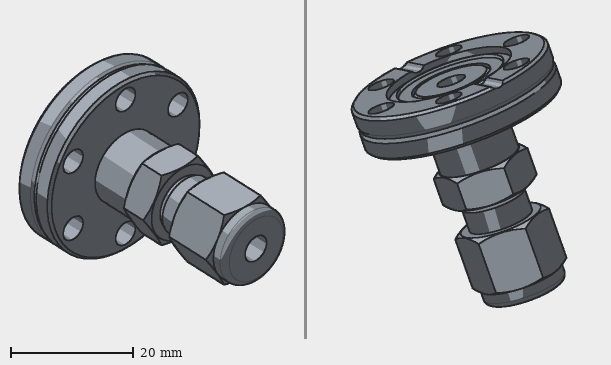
import cadquery as cq
import math


flange_radius = 17.0
flange_thickness = 7.75
rim_chamfer = 0.5
rim_groove_center = 3.87
rim_groove_width = 1.45
rim_groove_depth = 0.25

recess_radius = 10.8
recess_depth = 1.2
knife_radius = 9.25
knife_depth = 0.65
knife_root_radius = 9.07
inner_face_depth = 1.17

bolt_count = 6
bolt_circle_radius = 13.5
bolt_hole_diameter = 4.4

leak_groove_radius = 1.5
leak_groove_depth = 0.65
leak_groove_angle = 30

tube_radius = 6.8
tube_end_chamfer = 0.65
bore_diameter = 4.8
hex_sides = 6
hex_flats = 14.08
hex_face_radius = 6.92
hex_chamfer_angle = 30
body_hex_start = 15.4
body_hex_end = 21.45
neck_radius = 5.45
neck_taper_length = 1.0
neck_taper_height = 0.43
nut_hex_start = 26.3
nut_hex_end = 36.48
fitting_end = 39.1
collar_radius = hex_flats / 2
collar_fillet = 1.05


def revolve_about_x(points):
    """Turn a closed outline of (X, radius) points into a solid of revolution about the X axis."""
    return cq.Workplane("XY").polyline(points).close().revolve(360, (0, 0, 0), (1, 0, 0))


def rod(start, end, radius):
    """Round bar along the X axis."""
    return cq.Workplane("YZ", origin=(start, 0, 0)).circle(radius).extrude(end - start)


def flange_blank():
    """Disc with chamfered rim, V-groove round the rim, knife-edge recess and a hole for the tube."""
    groove_start = rim_groove_center - rim_groove_width / 2
    groove_end = rim_groove_center + rim_groove_width / 2
    return revolve_about_x([
        (0, recess_radius),
        (0, flange_radius - rim_chamfer),
        (rim_chamfer, flange_radius),
        (groove_start, flange_radius),
        (rim_groove_center, flange_radius - rim_groove_depth),
        (groove_end, flange_radius),
        (flange_thickness - rim_chamfer, flange_radius),
        (flange_thickness, flange_radius - rim_chamfer),
        (flange_thickness, tube_radius),
        (inner_face_depth, tube_radius),
        (inner_face_depth, knife_root_radius),
        (knife_depth, knife_radius),
        (recess_depth, recess_radius),
    ])


def bolt_holes():
    """Through holes evenly spaced on the bolt circle, the first one on the Z axis."""
    return (
        cq.Workplane("YZ")
        .polarArray(bolt_circle_radius, 90, 360, bolt_count)
        .circle(bolt_hole_diameter / 2)
        .extrude(flange_thickness)
    )


def leak_grooves():
    """Two opposite round-bottomed grooves from the recess out to the rim, tilted from Z towards +Y."""
    axis_offset = leak_groove_radius - leak_groove_depth
    groove_bar = (
        cq.Workplane("XY", origin=(-axis_offset, 0, 0))
        .circle(leak_groove_radius)
        .extrude(flange_radius, both=True)
    )
    groove_bar = groove_bar.cut(rod(-leak_groove_radius, flange_thickness, recess_radius))
    return groove_bar.rotate((0, 0, 0), (1, 0, 0), -leak_groove_angle)


def make_flange():
    return flange_blank().cut(bolt_holes()).cut(leak_grooves())


def chamfered_hex(start, end, end_face_radius):
    """Hexagonal bar with flats facing +Z and -Z, its corners turned off to round faces at both ends."""
    flat_radius = hex_flats / 2
    corner_radius = flat_radius / math.cos(math.pi / hex_sides)
    chamfer_slope = math.tan(math.radians(hex_chamfer_angle))
    start_chamfer = (corner_radius - hex_face_radius) * chamfer_slope
    end_chamfer = (corner_radius - end_face_radius) * chamfer_slope
    hexagon = (
        cq.Workplane("YZ", origin=(start, 0, 0))
        .polygon(hex_sides, 2 * corner_radius)
        .extrude(end - start)
    )
    turned_bar = revolve_about_x([
        (start, 0),
        (start, hex_face_radius),
        (start + start_chamfer, corner_radius),
        (end - end_chamfer, corner_radius),
        (end, end_face_radius),
        (end, 0),
    ])
    return hexagon.intersect(turned_bar)


def make_fitting():
    """Compression fitting whose tube stub fills the flange hole, flush with the inner face."""
    tube = rod(inner_face_depth, body_hex_start, tube_radius).faces("<X").chamfer(tube_end_chamfer)
    neck = revolve_about_x([
        (body_hex_end, 0),
        (body_hex_end, neck_radius - neck_taper_height),
        (body_hex_end + neck_taper_length, neck_radius),
        (nut_hex_start, neck_radius),
        (nut_hex_start, 0),
    ])
    collar = rod(nut_hex_end, fitting_end, collar_radius).faces(">X").edges().fillet(collar_fillet)
    bore = rod(inner_face_depth, fitting_end, bore_diameter / 2)
    return (
        tube.union(chamfered_hex(body_hex_start, body_hex_end, hex_face_radius))
        .union(neck)
        .union(chamfered_hex(nut_hex_start, nut_hex_end, collar_radius))
        .union(collar)
        .cut(bore)
    )


flange = make_flange()
fitting = make_fitting()

result = cq.Compound.makeCompound([flange.val(), fitting.val()])